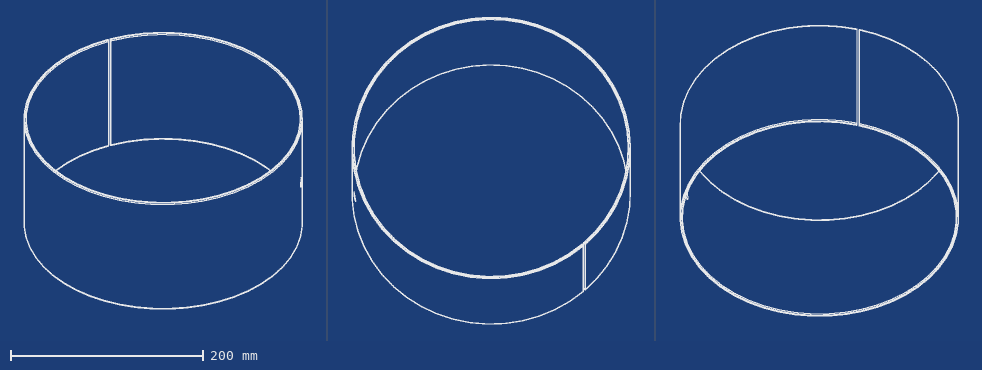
import cadquery as cq

outer_diameter = 290.0
height = 140.0
wall = 2.5
bevel_height = 1.5
bevel_depth = 0.65
slit_width = 2.5
hole_diameter = 10.0
hole_angle = 58.9

outer_radius = outer_diameter / 2
inner_radius = outer_radius - wall


def make_ring():
    """Thin ring standing on Z = 0, its wall tapered on both sides at both rims."""
    lower_bevel_end = bevel_height
    upper_bevel_start = height - bevel_height
    rim_outer_radius = outer_radius - bevel_depth
    rim_inner_radius = inner_radius + bevel_depth
    wall_section = [
        (rim_inner_radius, 0),
        (rim_outer_radius, 0),
        (outer_radius, lower_bevel_end),
        (outer_radius, upper_bevel_start),
        (rim_outer_radius, height),
        (rim_inner_radius, height),
        (inner_radius, upper_bevel_start),
        (inner_radius, lower_bevel_end),
    ]
    section = cq.Workplane("XZ").polyline(wall_section).close()
    return section.revolve(360, (0, 0, 0), (0, 1, 0))


def make_slit():
    """Full-height gap through the -X wall, with one side on the XZ plane."""
    gap = cq.Workplane("XY").box(outer_radius, slit_width, height, centered=False)
    return gap.translate((-outer_radius, 0, 0))


def make_hole():
    """Radial hole at mid-height, through one side of the wall only."""
    return (
        cq.Workplane("YZ")
        .center(0, height / 2)
        .circle(hole_diameter / 2)
        .extrude(outer_radius)
        .rotate((0, 0, 0), (0, 0, 1), hole_angle)
    )


result = make_ring().cut(make_slit()).cut(make_hole())